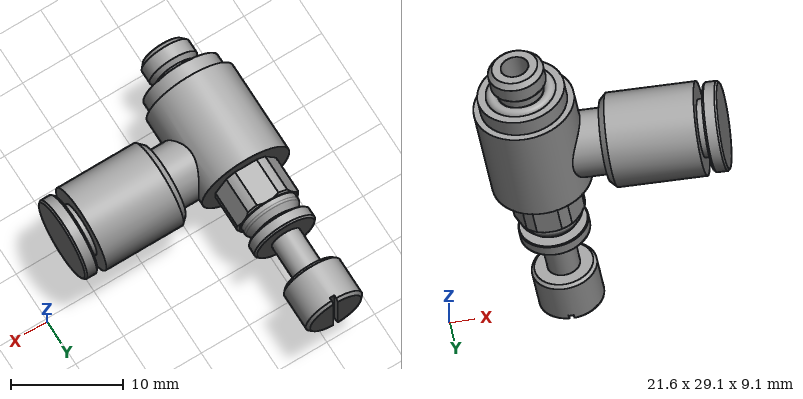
import cadquery as cq
import math


overall_length = 29.1
stud_end_y = -10.45
knob_top_y = stud_end_y + overall_length
seal_y = -7.75
gasket_start_y = -7.35
body_start_y = -5.82
body_end_y = 3.55
hex_end_y = 7.4
collar_end_y = 8.75
lock_ring_start_y = 9.08
lock_ring_end_y = 10.27
knob_start_y = 14.38

stud_radius = 2.5
stud_neck_radius = 2.07
gasket_radius = 3.93
body_radius = 9.1 / 2
collar_radius = 2.85
collar_neck_radius = 1.95
lock_ring_radius = 3.17
stem_radius = 1.48
knob_radius = 5.9 / 2

stud_land_start = 0.5
stud_land_end = 1.83
stud_groove_start = 2.3
bore_radius = 1.25
bore_depth = 5.82
o_ring_outer_radius = 3.2
collar_land = 0.47
collar_blend_radius = 0.4
collar_taper = math.radians(35)
hex_across_flats = 6.02
hex_corner_radius = 6.43 / 2
hex_chamfer = 0.17
lock_ring_top_chamfer = 0.17
lock_ring_bottom_chamfer = 0.1
knob_chamfer = 0.3
slot_width = 0.47
slot_depth = 0.6

overall_width = 21.55
branch_end_x = overall_width - body_radius
branch_neck_radius = 3.0
sleeve_start_x = 6.35
sleeve_end_x = 15.0
sleeve_radius = 4.25
sleeve_chamfer_length = 0.58
sleeve_lip_radius = 3.7
sleeve_recess_wall = 0.65
release_neck_radius = 2.62
release_ring_start_x = 15.68
release_ring_radius = 4.05
release_ring_chamfer = 0.17


def cylinder_y(radius, start, end):
    """Cylinder on the Y axis between two stations."""
    return cq.Workplane("XZ", origin=(0, start, 0)).circle(radius).extrude(start - end)


def cylinder_x(radius, start, end):
    """Cylinder on the X axis between two stations."""
    return cq.Workplane("YZ", origin=(start, 0, 0)).circle(radius).extrude(end - start)


def make_stud():
    """Turned stud with chamfered ends and a relief neck."""
    profile = (
        cq.Workplane("XY")
        .moveTo(0, stud_end_y)
        .lineTo(stud_neck_radius, stud_end_y)
        .lineTo(stud_radius, stud_end_y + stud_land_start)
        .lineTo(stud_radius, stud_end_y + stud_land_end)
        .lineTo(stud_neck_radius, stud_end_y + stud_groove_start)
        .lineTo(stud_neck_radius, body_start_y)
        .lineTo(0, body_start_y)
        .close()
    )
    return profile.revolve(360, (0, 0, 0), (0, 1, 0))


def make_o_ring():
    """O-ring around the stud neck, partly sunk in the gasket ring."""
    section_radius = (o_ring_outer_radius - stud_neck_radius) / 2
    centre_radius = stud_neck_radius + section_radius
    centre_y = seal_y + section_radius
    section = cq.Workplane("XY").center(centre_radius, centre_y).circle(section_radius)
    return section.revolve(360, (-centre_radius, 0, 0), (-centre_radius, 1, 0))


def make_hex():
    """Hexagon with turned corners and a chamfered outer end."""
    corner_diameter = hex_across_flats / math.cos(math.pi / 6)
    prism = (
        cq.Workplane("XZ", origin=(0, body_end_y, 0))
        .polygon(6, corner_diameter)
        .extrude(body_end_y - hex_end_y)
    )
    turned = cylinder_y(hex_corner_radius, body_end_y, hex_end_y)
    return prism.intersect(turned.faces(">Y").chamfer(hex_chamfer))


def make_collar():
    """Collar above the hexagon with a conical shoulder blended into its land."""
    land_end = hex_end_y + collar_land
    blend_centre = collar_radius - collar_blend_radius

    def blend_point(angle):
        return (
            blend_centre + collar_blend_radius * math.cos(angle),
            land_end + collar_blend_radius * math.sin(angle),
        )

    cone_radius, cone_y = blend_point(collar_taper)
    top_radius = cone_radius - (collar_end_y - cone_y) * math.tan(collar_taper)
    profile = (
        cq.Workplane("XY")
        .moveTo(0, hex_end_y)
        .lineTo(collar_radius, hex_end_y)
        .lineTo(collar_radius, land_end)
        .threePointArc(blend_point(collar_taper / 2), (cone_radius, cone_y))
        .lineTo(top_radius, collar_end_y)
        .lineTo(0, collar_end_y)
        .close()
    )
    return profile.revolve(360, (0, 0, 0), (0, 1, 0))


def make_lock_ring():
    """Lock ring with a larger chamfer on the knob side."""
    ring = cylinder_y(lock_ring_radius, lock_ring_start_y, lock_ring_end_y)
    ring = ring.faces(">Y").chamfer(lock_ring_top_chamfer)
    return ring.faces("<Y").chamfer(lock_ring_bottom_chamfer)


def make_knob():
    """Adjusting knob with a screwdriver slot across its top."""
    knob = cylinder_y(knob_radius, knob_start_y, knob_top_y).faces("<Y or >Y").chamfer(knob_chamfer)
    slot_centre = (0, knob_top_y - slot_depth / 2, 0)
    slot = cq.Workplane("XY", origin=slot_centre).box(slot_width, slot_depth, 2 * knob_radius)
    return knob.cut(slot)


def make_sleeve():
    """Sleeve with a chamfered rim and a round-bottomed annular recess around the neck."""
    recess_floor_radius = (sleeve_lip_radius - branch_neck_radius) / 2
    recess_wall_x = sleeve_start_x + sleeve_recess_wall
    recess_floor = (recess_wall_x + recess_floor_radius, branch_neck_radius + recess_floor_radius)
    profile = (
        cq.Workplane("XY")
        .moveTo(recess_wall_x, 0)
        .lineTo(recess_wall_x, branch_neck_radius)
        .threePointArc(recess_floor, (recess_wall_x, sleeve_lip_radius))
        .lineTo(sleeve_start_x, sleeve_lip_radius)
        .lineTo(sleeve_start_x + sleeve_chamfer_length, sleeve_radius)
        .lineTo(sleeve_end_x, sleeve_radius)
        .lineTo(sleeve_end_x, 0)
        .close()
    )
    return profile.revolve(360, (0, 0, 0), (1, 0, 0))


def make_branch():
    """Tube branch: neck, recessed sleeve and release ring."""
    ring = cylinder_x(release_ring_radius, release_ring_start_x, branch_end_x)
    return (
        cylinder_x(branch_neck_radius, 0, sleeve_start_x + sleeve_recess_wall)
        .union(make_sleeve())
        .union(cylinder_x(release_neck_radius, sleeve_end_x, release_ring_start_x))
        .union(ring.faces("<X or >X").chamfer(release_ring_chamfer))
    )


result = (
    make_stud()
    .union(make_o_ring())
    .union(cylinder_y(gasket_radius, gasket_start_y, body_start_y))
    .union(cylinder_y(body_radius, body_start_y, body_end_y))
    .union(make_hex())
    .union(make_collar())
    .union(cylinder_y(collar_neck_radius, collar_end_y, lock_ring_start_y))
    .union(make_lock_ring())
    .union(cylinder_y(stem_radius, lock_ring_end_y, knob_start_y))
    .union(make_knob())
    .union(make_branch())
    .cut(cylinder_y(bore_radius, stud_end_y, stud_end_y + bore_depth))
)